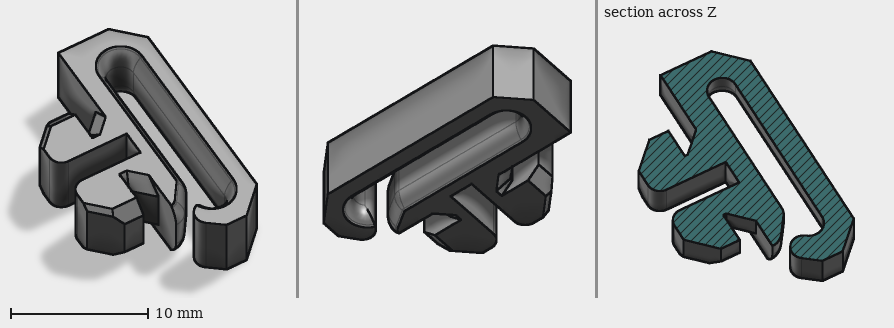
import cadquery as cq
import math

length = 19.8
thickness = 5.4
half_length = length / 2
mid_plane = thickness / 2

frame_depth = 6.38
corner_cut = 2.1
hook_side_end = 2.57

slot_center_x = 6.53
slot_center_y = 3.3
slot_radius = 1.09
flare_radius = 2.0
flare_chamfer = 0.14

hook_radius = 1.0
hook_angle = math.radians(-39)

lip_start_x = 4.47
lip_corner_radius = 1.0
lip_tip_x = 7.0
lip_slope = math.radians(35)

clip_gap = 1.98
gap_top = 0.53
clip_depth = 5.4
shoulder_y = -1.8
neck_root = 4.51
neck_half_width = 2.93
head_half_width = 5.4
head_taper = 2.0
gap_rounding = 1.0
side_chamfer = 1.0
taper_chamfer = 0.4


def polar(center, radius, angle):
    """Point at an angle on a circle."""
    return (center[0] + radius * math.cos(angle), center[1] + radius * math.sin(angle))


slot_right = (slot_center_x, slot_center_y)
slot_left = (-slot_center_x, slot_center_y)
slot_floor = slot_center_y - slot_radius
slot_roof = slot_center_y + slot_radius

lip_normal = math.pi / 2 - lip_slope
corner_center = (lip_start_x, slot_floor - lip_corner_radius)
normal_x = math.cos(lip_normal)
normal_y = math.sin(lip_normal)
lip_line_offset = corner_center[0] * normal_x + corner_center[1] * normal_y + lip_corner_radius
tip_radius = (lip_line_offset - lip_tip_x * normal_x) / (1 - normal_x)
tip_center = (lip_tip_x - tip_radius, 0)


def add_slot_wall(wire):
    """Continue a wire from the slot roof around the left end and floor to the lip tip."""
    return (
        wire.lineTo(-slot_center_x, slot_roof)
        .threePointArc(polar(slot_left, slot_radius, math.pi), (-slot_center_x, slot_floor))
        .lineTo(lip_start_x, slot_floor)
        .threePointArc(
            polar(corner_center, lip_corner_radius, (math.pi / 2 + lip_normal) / 2),
            polar(corner_center, lip_corner_radius, lip_normal),
        )
        .lineTo(*polar(tip_center, tip_radius, lip_normal))
        .threePointArc(polar(tip_center, tip_radius, lip_normal / 2), (lip_tip_x, 0))
    )


def make_frame():
    """Open buckle frame with its hook and lip."""
    hook_center = polar(slot_right, slot_radius + hook_radius, hook_angle)
    side_end = (half_length, hook_side_end)
    to_side_x = side_end[0] - hook_center[0]
    to_side_y = side_end[1] - hook_center[1]
    tangent_angle = math.atan2(to_side_y, to_side_x) - math.acos(hook_radius / math.hypot(to_side_x, to_side_y))
    joint_angle = hook_angle - math.pi
    wire = (
        cq.Workplane("XY", origin=(0, 0, -mid_plane))
        .moveTo(-half_length, 0)
        .lineTo(-half_length, frame_depth - corner_cut)
        .lineTo(corner_cut - half_length, frame_depth)
        .lineTo(half_length - corner_cut, frame_depth)
        .lineTo(half_length, frame_depth - corner_cut)
        .lineTo(*side_end)
        .lineTo(*polar(hook_center, hook_radius, tangent_angle))
        .threePointArc(
            polar(hook_center, hook_radius, (tangent_angle + joint_angle) / 2),
            polar(hook_center, hook_radius, joint_angle),
        )
        .threePointArc(
            polar(slot_right, slot_radius, (hook_angle + math.pi / 2) / 2),
            (slot_center_x, slot_roof),
        )
    )
    return add_slot_wall(wire).close().extrude(thickness)


def make_flare():
    """Cutter for the upper slot rim: a 45 degree arc, then a tangent chamfer up to the face."""
    arc_mid_angle = math.pi / 8
    arc_reach = flare_radius * (1 - math.cos(math.pi / 4))
    arc_rise = flare_radius * math.sin(math.pi / 4)
    arc_start = mid_plane - arc_rise - flare_chamfer
    overlap = 0.2
    start = cq.Workplane("XY").moveTo(slot_center_x, slot_floor)
    path = add_slot_wall(start.threePointArc(polar(slot_right, slot_radius, 0), (slot_center_x, slot_roof)))
    path = path.lineTo(lip_tip_x, -overlap)
    profile = (
        cq.Workplane("YZ", origin=(slot_center_x, slot_floor, 0))
        .moveTo(overlap, arc_start)
        .lineTo(0, arc_start)
        .threePointArc(
            (-flare_radius * (1 - math.cos(arc_mid_angle)), arc_start + flare_radius * math.sin(arc_mid_angle)),
            (-arc_reach, arc_start + arc_rise),
        )
        .lineTo(-arc_reach - flare_chamfer, mid_plane)
        .lineTo(overlap, mid_plane)
        .close()
    )
    return profile.sweep(path)


def chamfer_rims(body, start, end, size):
    """Chamfer the top and bottom edges lying over the segment from start to end."""
    x = (start[0] + end[0]) / 2
    y = (start[1] + end[1]) / 2
    for z in (-mid_plane, mid_plane):
        body = body.edges(cq.selectors.NearestToPointSelector((x, y, z))).chamfer(size)
    return body


def make_prism(points):
    """Full-thickness prism over a polygon."""
    return cq.Workplane("XY", origin=(0, 0, -mid_plane)).polyline(points).close().extrude(thickness)


def make_neck():
    """Right half of the neck with bevelled rims on its slanted and straight sides."""
    slant_end_y = neck_half_width - neck_root
    points = [(0, 0), (neck_root, 0), (neck_half_width, slant_end_y), (neck_half_width, shoulder_y), (0, shoulder_y)]
    neck = make_prism(points)
    slant_middle = ((neck_root + neck_half_width) / 2, slant_end_y / 2, 0)
    straight_middle = (neck_half_width, (slant_end_y + shoulder_y) / 2, 0)
    near_slant = cq.selectors.NearestToPointSelector(slant_middle)
    near_straight = cq.selectors.NearestToPointSelector(straight_middle)
    for face in (">Z", "<Z"):
        neck = neck.faces(face).edges(near_slant + near_straight).chamfer(side_chamfer)
    return neck


def make_head():
    """Right half of the barbed head, tapered towards its end."""
    taper_start = (head_half_width, head_taper - clip_depth)
    taper_end = (head_half_width - head_taper, -clip_depth)
    top_corner = (head_half_width, shoulder_y)
    head = make_prism([(0, shoulder_y), top_corner, taper_start, taper_end, (0, -clip_depth)])
    head = chamfer_rims(head, top_corner, taper_start, side_chamfer)
    return chamfer_rims(head, taper_start, taper_end, taper_chamfer)


def make_gap():
    """Cutter that splits the clip and rounds both prongs at the open end."""
    half_gap = clip_gap / 2
    round_start = gap_rounding - clip_depth
    mouth = half_gap + gap_rounding
    diagonal = gap_rounding * math.sqrt(0.5)
    return (
        cq.Workplane("XY", origin=(0, 0, -mid_plane))
        .moveTo(-half_gap, gap_top)
        .lineTo(half_gap, gap_top)
        .lineTo(half_gap, round_start)
        .threePointArc((mouth - diagonal, round_start - diagonal), (mouth, -clip_depth))
        .lineTo(-mouth, -clip_depth)
        .threePointArc((diagonal - mouth, round_start - diagonal), (-half_gap, round_start))
        .close()
        .extrude(thickness)
    )


flare = make_flare()
frame = make_frame().cut(flare).cut(flare.mirror("XY"))
prong = make_neck().union(make_head())
result = frame.union(prong).union(prong.mirror("YZ")).cut(make_gap())